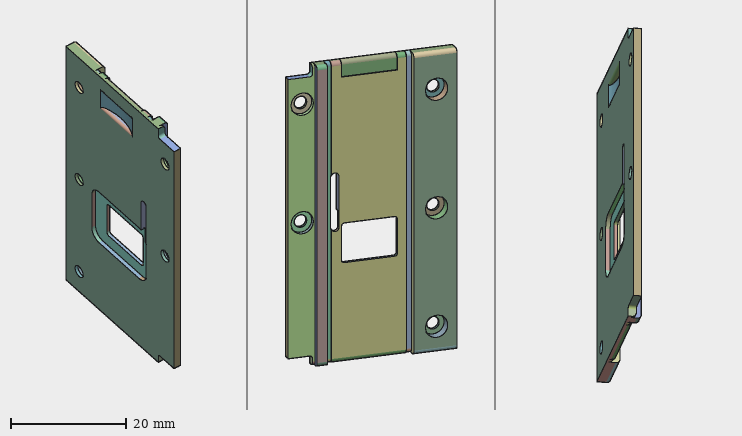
import cadquery as cq
import math

width = 30.9
height = 55.8

rail_level = 2.45
plate_level = 1.45
groove_level = 1.2

left_rail_end = 8.0
pad_start = 9.0
pad_end = 22.9
right_rail_start = 23.95
right_rail_end = 25.9

end_edge_radius = 0.75

notch_start = 26.4
notch_height_top = 2.1
notch_height_bottom = 1.85
notch_corner_radius = 0.5

hole_diameter = 2.3
counterbore_diameter = 4.1
screw_seat_level = 0.6
hole_x_left = 3.8
hole_x_right = 28.3
hole_z_middle = 26.8
hole_pitch = 22.0

recess_left = 7.45
recess_right = 22.95
recess_bottom = 15.95
recess_top = 28.05
recess_depth = 0.8
recess_corner_radius = 2.05

window_left = 10.7
window_right = 21.0
window_bottom = 18.4
window_top = 25.75
window_corner_radius = 0.5

slot_width = 1.45
slot_right = recess_right
slot_bottom = 24.4
slot_top = 35.25

finger_left = 9.85
finger_right = 19.0
finger_bottom = 48.4
finger_top = 52.9
finger_depth = 1.0
finger_rim_radius = 0.45


def box(x_start, x_end, y_start, y_end, z_start, z_end):
    return (
        cq.Workplane("XY")
        .box(x_end - x_start, y_end - y_start, z_end - z_start, centered=False)
        .translate((x_start, y_start, z_start))
    )


def rounded_block(x_start, x_end, z_start, z_end, depth, corner_radius):
    block = box(x_start, x_end, 0, depth, z_start, z_end)
    return block.edges("|Y").fillet(corner_radius)


def cylinder(x, z, diameter, y_start, y_end):
    """Round bar along Y."""
    return (
        cq.Workplane("XZ", origin=(x, y_start, z))
        .circle(diameter / 2)
        .extrude(y_start - y_end)
    )


def make_strip(x_start, x_end, level, z_start=0, z_end=height):
    """Upright strip of the plate, rounded where its back meets the plate ends."""
    strip = box(x_start, x_end, 0, level, z_start, z_end)
    if z_start == 0:
        strip = strip.edges("|X and >Y and <Z").fillet(end_edge_radius)
    if z_end == height:
        strip = strip.edges("|X and >Y and >Z").fillet(end_edge_radius)
    return strip


def make_stepped_plate():
    plate = make_strip(0, left_rail_end, rail_level)
    plate = plate.union(make_strip(left_rail_end, pad_start, groove_level))
    plate = plate.union(make_strip(pad_start, window_left, plate_level))
    plate = plate.union(make_strip(window_left, window_right, plate_level, z_end=finger_top))
    plate = plate.union(make_strip(window_left, window_right, groove_level, z_start=finger_top))
    plate = plate.union(make_strip(window_right, pad_end, plate_level))
    plate = plate.union(make_strip(pad_end, right_rail_start, groove_level))
    plate = plate.union(make_strip(right_rail_start, right_rail_end, rail_level))
    plate = plate.union(make_strip(right_rail_end, notch_start, plate_level))
    tab_top = height - notch_height_top
    tab = box(notch_start, width, 0, plate_level, notch_height_bottom, tab_top)
    return plate.union(tab)


def make_notch_fillet(z, direction):
    """Material that rounds the inner corner of a notch; direction is +1 for up."""
    radius = notch_corner_radius
    block_end = z + direction * radius
    block = box(notch_start, notch_start + radius, 0, plate_level, min(z, block_end), max(z, block_end))
    return block.cut(cylinder(notch_start + radius, block_end, 2 * radius, 0, plate_level))


def make_screw_hole(x, z):
    shank = cylinder(x, z, hole_diameter, 0, screw_seat_level)
    head = cylinder(x, z, counterbore_diameter, screw_seat_level, rail_level)
    return shank.union(head)


def make_slot():
    length = slot_top - slot_bottom
    centre_x = slot_right - slot_width / 2
    return (
        cq.Workplane("XZ", origin=(centre_x, 0, slot_bottom + length / 2))
        .slot2D(length, slot_width, 90)
        .extrude(-rail_level)
    )


def make_finger_recess():
    """Part of an upright cylinder whose flat ends flare out through a rounded rim."""
    middle_x = (finger_left + finger_right) / 2
    radius = finger_rim_radius
    to_arc_middle = radius * (1 - math.sqrt(0.5))
    scoop = (
        cq.Workplane("XY", origin=(0, 0, finger_bottom))
        .moveTo(finger_left, 0)
        .threePointArc((middle_x, finger_depth), (finger_right, 0))
        .close()
        .extrude(finger_top - finger_bottom)
    )
    rimmed_ends = (
        cq.Workplane("YZ", origin=(finger_left, 0, 0))
        .moveTo(0, finger_bottom)
        .lineTo(0, finger_top)
        .threePointArc((to_arc_middle, finger_top - radius + to_arc_middle), (radius, finger_top - radius))
        .lineTo(finger_depth, finger_top - radius)
        .lineTo(finger_depth, finger_bottom + radius)
        .lineTo(radius, finger_bottom + radius)
        .threePointArc((to_arc_middle, finger_bottom + radius - to_arc_middle), (0, finger_bottom))
        .close()
        .extrude(finger_right - finger_left)
    )
    return scoop.intersect(rimmed_ends)


result = make_stepped_plate()
result = result.union(make_notch_fillet(height - notch_height_top, 1))
result = result.union(make_notch_fillet(notch_height_bottom, -1))

hole_places = [(hole_x_left, hole_z_middle + step * hole_pitch) for step in (-1, 0, 1)]
hole_places += [(hole_x_right, hole_z_middle + step * hole_pitch) for step in (0, 1)]
for hole_x, hole_z in hole_places:
    result = result.cut(make_screw_hole(hole_x, hole_z))

result = result.cut(
    rounded_block(recess_left, recess_right, recess_bottom, recess_top, recess_depth, recess_corner_radius)
)
result = result.cut(
    rounded_block(window_left, window_right, window_bottom, window_top, plate_level, window_corner_radius)
)
result = result.cut(make_slot())
result = result.cut(make_finger_recess())